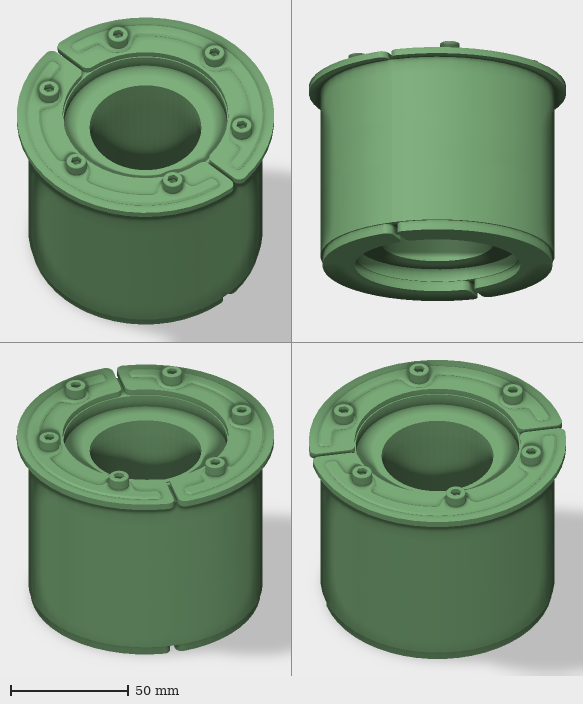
import cadquery as cq
import math

base_height = 4.2
end_block_height = 27.2
middle_block_height = 18.8
flange_height = 2.8
ridge_height = 0.8
screw_head_height = 5.0

body_radius = 50.0
recess_radius = 35.0
recess_depth = 5.5
bore_radius = 23.9
peel_layer_count = 10

flange_radius = 55.0
base_radius = 49.2
plate_hole_radius = 35.4
flange_gap = 1.9
base_gap = 2.2
plate_corner_radius = 3.1

ridge_outer_radius = 50.9
ridge_inner_radius = 44.7
ridge_end_offset = 5.1
ridge_corner_radius = 2.2
ridge_chamfer_width = 1.0
ridge_chamfer_height = 0.7
boss_radius = 6.7
boss_center_radius = 43.5
boss_splay_angle = 30.0
root_tolerance = 0.01

screw_circle_radius = 42.5
screw_angles = (30, 90, 150)
screw_head_diameter = 8.5
screw_edge_fillet = 0.5
socket_width = 4.2
socket_depth = 2.8
socket_cone_depth = 1.2

body_bottom = base_height
body_height = 2 * end_block_height + middle_block_height
body_top = body_bottom + body_height
flange_top = body_top + flange_height
ridge_top = flange_top + ridge_height
screw_top = ridge_top + screw_head_height
peel_layer_thickness = (recess_radius - bore_radius) / peel_layer_count
socket_corner_diameter = socket_width / math.cos(math.radians(30))


def half_ring(outer, inner, bottom, height, edge_offset=0.0):
    """Half of a ring on the +Y side, cut off parallel to the X axis."""
    ring = cq.Workplane("XY").workplane(offset=bottom).circle(outer).circle(inner).extrude(height)
    keep = (
        cq.Workplane("XY")
        .workplane(offset=bottom)
        .center(0, edge_offset + outer)
        .rect(4 * outer, 2 * outer)
        .extrude(height)
    )
    return ring.intersect(keep)


def with_mirror(half):
    """Both halves of a split piece, kept as separate faces where they meet."""
    return half.union(half.mirror("XZ"), clean=False)


def clamp_plate(outer, gap, bottom, height):
    half = half_ring(outer, plate_hole_radius, bottom, height, gap / 2)
    return with_mirror(half.edges("|Z").fillet(plate_corner_radius))


def body_half():
    """Stacked blocks of nested peel layers; the faces stay divided along the seams."""
    pocket_bottom = body_bottom + recess_depth
    pocket_top = body_top - recess_depth
    seam_low = body_bottom + end_block_height
    seam_high = seam_low + middle_block_height

    layer_radii = [recess_radius - i * peel_layer_thickness for i in range(peel_layer_count + 1)]
    rings = list(zip(layer_radii, layer_radii[1:]))
    pieces = []
    for bottom, top in ((body_bottom, seam_low), (seam_low, seam_high), (seam_high, body_top)):
        pieces.append(half_ring(body_radius, recess_radius, bottom, top - bottom))
        inner_bottom = max(bottom, pocket_bottom)
        inner_top = min(top, pocket_top)
        for outer, inner in rings:
            pieces.append(half_ring(outer, inner, inner_bottom, inner_top - inner_bottom))
    first, *others = [piece.val() for piece in pieces]
    return cq.Workplane(first.fuse(*others))


def screw_boss():
    """Rounded boss bulging inward from the ridge at +X, with sides splaying outward."""
    splay = math.radians(boss_splay_angle)
    tangent_x = boss_center_radius - boss_radius * math.sin(splay)
    tangent_y = boss_radius * math.cos(splay)
    outer_x = (ridge_inner_radius + ridge_outer_radius) / 2
    outer_y = tangent_y + (outer_x - tangent_x) * math.tan(splay)
    return (
        cq.Workplane("XY")
        .workplane(offset=flange_top)
        .moveTo(tangent_x, -tangent_y)
        .threePointArc((boss_center_radius - boss_radius, 0), (tangent_x, tangent_y))
        .lineTo(outer_x, outer_y)
        .lineTo(outer_x, -outer_y)
        .close()
        .extrude(ridge_height)
    )


def is_boss_root(edge):
    """True for the upright edges where a boss side meets the ridge's inner wall."""
    middle = edge.Center()
    on_inner_wall = abs(math.hypot(middle.x, middle.y) - ridge_inner_radius) < root_tolerance
    beyond_end_corner = middle.y > ridge_end_offset + 2 * ridge_corner_radius
    return on_inner_wall and beyond_end_corner


def ridge_half():
    ridge = half_ring(ridge_outer_radius, ridge_inner_radius, flange_top, ridge_height, ridge_end_offset)
    ridge = ridge.edges("|Z").fillet(ridge_corner_radius)
    for angle in screw_angles:
        ridge = ridge.union(screw_boss().rotate((0, 0, 0), (0, 0, 1), angle))
    boss_roots = ridge.edges("|Z").filter(is_boss_root)
    ridge = ridge.newObject(boss_roots.vals()).fillet(ridge_corner_radius)
    return ridge.faces(">Z").chamfer(ridge_chamfer_height, ridge_chamfer_width)


def screw_head():
    """Socket head with a rounded rim and a hexagonal recess ending in a cone."""
    head = (
        cq.Workplane("XY")
        .workplane(offset=flange_top)
        .circle(screw_head_diameter / 2)
        .extrude(screw_top - flange_top)
        .faces(">Z")
        .edges()
        .fillet(screw_edge_fillet)
    )
    full_depth = socket_depth + socket_cone_depth
    hexagon = (
        cq.Workplane("XY")
        .workplane(offset=screw_top - full_depth)
        .polygon(6, socket_corner_diameter)
        .extrude(full_depth)
    )
    pointed_drill = (
        cq.Workplane("XZ")
        .moveTo(0, screw_top - full_depth)
        .lineTo(socket_corner_diameter / 2, screw_top - socket_depth)
        .lineTo(socket_corner_diameter / 2, screw_top)
        .lineTo(0, screw_top)
        .close()
        .revolve()
    )
    return head.cut(hexagon.intersect(pointed_drill))


base = clamp_plate(base_radius, base_gap, 0, base_height)
flange = clamp_plate(flange_radius, flange_gap, body_top, flange_height)
top_half = ridge_half()
for angle in screw_angles:
    place = math.radians(angle)
    head = screw_head().translate(
        (screw_circle_radius * math.cos(place), screw_circle_radius * math.sin(place), 0)
    )
    top_half = top_half.union(head)

result = with_mirror(body_half())
for piece in (base, flange, with_mirror(top_half)):
    result = result.union(piece, clean=False)